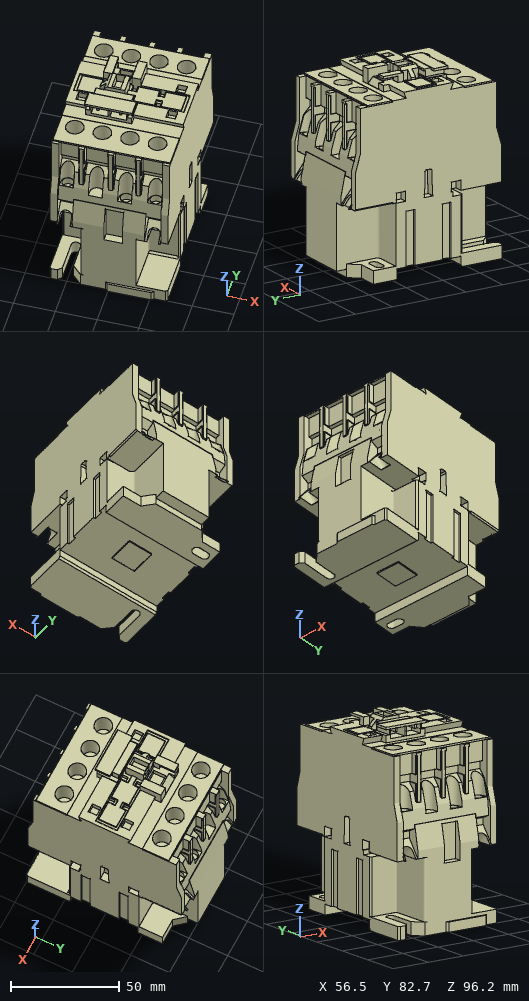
import cadquery as cq


WIDTH = 56.5
FRONT_Y = -40.85
REAR_Y = 40.85
TOTAL_HEIGHT = 96.2
HALF_WIDTH = WIDTH / 2

HOUSING_BOTTOM = 37.4
HOUSING_TOP = 87.0
COVER_TOP = 87.7
DECK_TOP = 90.7

WALL_THICKNESS = 3.5
BAY_HALF_WIDTH = HALF_WIDTH - WALL_THICKNESS
BLOCK_HALF_WIDTH = 17.3

FOOT_TOP = 6.7
RAIL_CEILING = 5.2


def box(x0, x1, y0, y1, z0, z1):
    """Axis-aligned box between opposite corners."""
    return cq.Workplane("XY").box(x1 - x0, y1 - y0, z1 - z0, centered=False).translate((x0, y0, z0))


def prism_along_x(points, x0, x1):
    """Extrude a closed (y, z) outline from x0 to x1."""
    return cq.Workplane("YZ").polyline(points).close().extrude(x1 - x0).translate((x0, 0, 0))


def prism_along_z(points, z0, z1):
    """Extrude a closed (x, y) outline from z0 to z1."""
    return cq.Workplane("XY").polyline(points).close().extrude(z1 - z0).translate((0, 0, z0))


def cylinder(x, y, radius, z0, z1):
    """Vertical cylinder."""
    return cq.Workplane("XY").circle(radius).extrude(z1 - z0).translate((x, y, z0))


def both_ends(half_outline):
    """Complete a (distance from the middle, z) outline with its mirror image in Y."""
    mirrored = [(-distance, z) for distance, z in reversed(half_outline)]
    return half_outline + mirrored


WALL_TOP_Y = 37.1
WALL_BOTTOM_Y = 39.7
WALL_BEND_LOW = 55.9
WALL_BEND_HIGH = 64.6
OPENING_BACK_Y = 31.3
OPENING_BOTTOM = 72.1
OPENING_TOP = 76.3
TERMINAL_FACE_Y = 33.5
RAMP_Y = 35.0
RAMP_BOTTOM = 68.3
BAR_TOP_Y = 37.4
BAR_TOP = 60.3
BAR_BOTTOM_Y = 38.35
BAR_BOTTOM = 51.3
BLOCK_TOP = 53.2
BLOCK_EDGE_Z = 41.1
SHELF_BACK_Y = 34.0
SHELF_WALL_TOP = 49.4
SHELF_TOP = 46.0


def make_housing():
    wall = both_ends([
        (WALL_BOTTOM_Y, HOUSING_BOTTOM),
        (WALL_BOTTOM_Y, WALL_BEND_LOW),
        (WALL_TOP_Y, WALL_BEND_HIGH),
        (WALL_TOP_Y, HOUSING_TOP),
    ])
    core = both_ends([
        (REAR_Y, HOUSING_BOTTOM),
        (SHELF_BACK_Y, SHELF_TOP),
        (SHELF_BACK_Y, SHELF_WALL_TOP),
        (BAR_BOTTOM_Y, BAR_BOTTOM),
        (BAR_TOP_Y, BAR_TOP),
        (RAMP_Y, RAMP_BOTTOM),
        (OPENING_BACK_Y, OPENING_BOTTOM),
        (OPENING_BACK_Y, OPENING_TOP),
        (TERMINAL_FACE_Y, OPENING_TOP),
        (TERMINAL_FACE_Y, HOUSING_TOP),
    ])
    end_block = both_ends([
        (REAR_Y, HOUSING_BOTTOM),
        (REAR_Y, BLOCK_EDGE_Z),
        (BAR_BOTTOM_Y, BLOCK_TOP),
    ])
    housing = prism_along_x(core, -BAY_HALF_WIDTH, BAY_HALF_WIDTH)
    housing = housing.union(prism_along_x(end_block, -BLOCK_HALF_WIDTH, BLOCK_HALF_WIDTH))
    housing = housing.union(prism_along_x(wall, -HALF_WIDTH, -BAY_HALF_WIDTH))
    return housing.union(prism_along_x(wall, BAY_HALF_WIDTH, HALF_WIDTH))


COVER_INNER_Y = 19.5
COVER_BOTTOM = 86.8
COVER_INSET = 0.1
COVER_STEP = 0.15
FRONT_COVER_EDGE_Y = -35.7
REAR_COVER_EDGE_Y = 33.1


def make_covers():
    cover_half_width = HALF_WIDTH - COVER_INSET
    front = box(-cover_half_width, cover_half_width, FRONT_COVER_EDGE_Y, -COVER_INNER_Y,
                COVER_BOTTOM, COVER_TOP)
    rear = box(-cover_half_width, cover_half_width, COVER_INNER_Y, REAR_COVER_EDGE_Y,
               COVER_BOTTOM, COVER_TOP)
    strip = box(-HALF_WIDTH, HALF_WIDTH, -COVER_INNER_Y, COVER_INNER_Y,
                COVER_BOTTOM, COVER_TOP - COVER_STEP)
    return front.union(rear).union(strip)


DECK_HALF_LENGTH = 13.45
DECK_FOOT_HALF_LENGTH = 12.0


def make_deck():
    dovetail = both_ends([(DECK_FOOT_HALF_LENGTH, HOUSING_TOP), (DECK_HALF_LENGTH, DECK_TOP)])
    return prism_along_x(dovetail, -HALF_WIDTH, HALF_WIDTH)


FIN_CENTERS = (-14.0, 0.0, 13.2)
FIN_BOTTOM = 63.1
FIN_CAP_BOTTOM = 85.4
FIN_TIP_Y = 37.25
FIN_ROOT_Y = 36.4
FIN_WIDTH = 2.8
FIN_BLADE_WIDTH = 1.9


def make_fins():
    """Barriers between poles: a thin blade with a wider root and a cap, at both ends."""
    fins = cq.Workplane("XY")
    half_root = FIN_WIDTH / 2
    half_blade = FIN_BLADE_WIDTH / 2
    for x in FIN_CENTERS:
        blade = box(x - half_blade, x + half_blade, -FIN_TIP_Y, FIN_TIP_Y, FIN_BOTTOM, COVER_BOTTOM)
        cap = box(x - half_root, x + half_root, -FIN_TIP_Y, FIN_TIP_Y, FIN_CAP_BOTTOM, COVER_BOTTOM)
        upper = box(x - half_root, x + half_root, -FIN_ROOT_Y, FIN_ROOT_Y, OPENING_TOP, FIN_CAP_BOTTOM)
        lower = box(x - half_root, x + half_root, -FIN_ROOT_Y, FIN_ROOT_Y, FIN_BOTTOM, OPENING_BOTTOM)
        fins = fins.add(blade.union(cap).union(upper).union(lower))
    return fins.combine()


WIRE_RADIUS = 3.3
WIRE_Y = 35.2
WIRE_TOP = 74.0
WIRE_OUTER_FLOOR = 60.0
WIRE_INNER_FLOOR = 57.3
WIRE_HOLE_Y = 34.5
WIRE_HOLE_RADIUS = 2.75
WIRE_HOLE_DEPTH = 4.0
WIRE_GROOVES = (
    (-21.1, WIRE_OUTER_FLOOR, True),
    (-7.15, WIRE_INNER_FLOOR, False),
    (6.85, WIRE_INNER_FLOOR, True),
    (21.05, WIRE_OUTER_FLOOR, True),
)


def make_wire_grooves():
    grooves = cq.Workplane("XY")
    for x, floor, has_hole in WIRE_GROOVES:
        for end in (-1, 1):
            y = end * WIRE_Y
            y0, y1 = sorted((y, end * REAR_Y))
            groove = cylinder(x, y, WIRE_RADIUS, floor, WIRE_TOP)
            groove = groove.union(box(x - WIRE_RADIUS, x + WIRE_RADIUS, y0, y1, floor, WIRE_TOP))
            if has_hole:
                groove = groove.union(cylinder(x, end * WIRE_HOLE_Y, WIRE_HOLE_RADIUS,
                                               floor - WIRE_HOLE_DEPTH, floor))
            grooves = grooves.add(groove)
    return grooves.combine()


SHELF_NOTCH_X = 21.15
SHELF_NOTCH_RADIUS = 2.8
SHELF_NOTCH_CENTER_Z = 40.8
SHELF_NOTCH_FRONT_DEPTH = 6.5
SHELF_NOTCH_REAR_DEPTH = 1.2


def make_shelf_notches():
    """Round-ended notches sunk square to the sloped shelves, open at their lower edges."""
    run = REAR_Y - SHELF_BACK_Y
    rise = SHELF_TOP - HOUSING_BOTTOM
    center_y = REAR_Y - (SHELF_NOTCH_CENTER_Z - HOUSING_BOTTOM) * run / rise
    diameter = 2 * SHELF_NOTCH_RADIUS
    reach = 2 * diameter
    notches = cq.Workplane("XY")
    for end, depth in ((-1, SHELF_NOTCH_FRONT_DEPTH), (1, SHELF_NOTCH_REAR_DEPTH)):
        for x in (-SHELF_NOTCH_X, SHELF_NOTCH_X):
            plane = cq.Plane(origin=(x, end * center_y, SHELF_NOTCH_CENTER_Z),
                             xDir=(0, end * run, -rise), normal=(0, end * rise, run))
            notch = (cq.Workplane(plane).circle(SHELF_NOTCH_RADIUS)
                     .extrude(-depth)
                     .union(cq.Workplane(plane).center(reach / 2, 0).rect(reach, diameter)
                            .extrude(-depth)))
            notches = notches.add(notch)
    return notches.combine()


POLES = 4
SCREW_PITCH = 13.2
SCREW_FIRST_X = -20.3
SCREW_RADIUS = 4.25
SCREW_REAR_Y = 25.1
SCREW_FRONT_Y = -25.4
SCREW_DEPTH = 12.0


def make_screw_holes():
    holes = cq.Workplane("XY")
    for pole in range(POLES):
        x = SCREW_FIRST_X + pole * SCREW_PITCH
        for y in (SCREW_FRONT_Y, SCREW_REAR_Y):
            holes = holes.add(cylinder(x, y, SCREW_RADIUS, COVER_TOP - SCREW_DEPTH, COVER_TOP))
    return holes.combine()


POCKET_DEPTH = 4.0
LATCH_TOP = 50.7
LATCH_SHOULDER = 50.0
LATCH_TAPER_START = 43.0
LATCH_HALF_WIDTH = 2.0
LATCH_FOOT_HALF_WIDTH = 2.3
LATCH_TIP_HALF_WIDTH = 1.2
SIDE_POCKET_Y = (12.4, 17.5)
SIDE_POCKET_TOP = 42.3


def make_side_openings():
    x0, x1 = -HALF_WIDTH, -HALF_WIDTH + POCKET_DEPTH
    latch_slot = prism_along_x(both_ends([
        (LATCH_FOOT_HALF_WIDTH, HOUSING_BOTTOM),
        (LATCH_HALF_WIDTH, LATCH_TAPER_START),
        (LATCH_HALF_WIDTH, LATCH_SHOULDER),
        (LATCH_TIP_HALF_WIDTH, LATCH_TOP),
    ]), x0, x1)
    rear = box(x0, x1, *SIDE_POCKET_Y, HOUSING_BOTTOM, SIDE_POCKET_TOP)
    left = latch_slot.union(rear).union(rear.mirror("XZ"))
    return left.union(left.mirror("YZ"))


EDGE_BEVEL = 0.7
EDGE_BEVEL_FRONT_Y = 19.4


def make_wall_bevels():
    """Bevels on the lower outer edges of the side walls, along the rear recesses."""
    outline = [
        (-HALF_WIDTH, HOUSING_BOTTOM),
        (-HALF_WIDTH + EDGE_BEVEL, HOUSING_BOTTOM),
        (-HALF_WIDTH, HOUSING_BOTTOM + EDGE_BEVEL),
    ]
    length = WALL_BOTTOM_Y - EDGE_BEVEL_FRONT_Y
    left = (cq.Workplane("XZ").polyline(outline).close().extrude(-length)
            .translate((0, EDGE_BEVEL_FRONT_Y, 0)))
    return left.union(left.mirror("YZ"))


WALL_LEFT_X = -13.4
WALL_RIGHT_X = 13.3
RECESS_FRONT_Y = -18.6
RECESS_REAR_Y = 17.8
OUTER_BREAK = 0.9
FRONT_INNER_RADIUS = 0.9
REAR_INNER_RADIUS = 2.2
LEFT_FACE_RADIUS = 1.2
FOOT_BEVEL = 1.0


def make_waist():
    """Body between housing and feet: a full-width middle with narrower ends."""
    left_face_x = WALL_LEFT_X + LEFT_FACE_RADIUS
    return (
        cq.Workplane("XY")
        .moveTo(-HALF_WIDTH, RECESS_FRONT_Y + OUTER_BREAK)
        .lineTo(-HALF_WIDTH + OUTER_BREAK, RECESS_FRONT_Y)
        .lineTo(WALL_LEFT_X - FRONT_INNER_RADIUS, RECESS_FRONT_Y)
        .radiusArc((WALL_LEFT_X, RECESS_FRONT_Y - FRONT_INNER_RADIUS), FRONT_INNER_RADIUS)
        .lineTo(WALL_LEFT_X, FRONT_Y + LEFT_FACE_RADIUS)
        .radiusArc((left_face_x, FRONT_Y), -LEFT_FACE_RADIUS)
        .lineTo(WALL_RIGHT_X, FRONT_Y)
        .lineTo(WALL_RIGHT_X, RECESS_FRONT_Y - FRONT_INNER_RADIUS)
        .radiusArc((WALL_RIGHT_X + FRONT_INNER_RADIUS, RECESS_FRONT_Y), FRONT_INNER_RADIUS)
        .lineTo(HALF_WIDTH - OUTER_BREAK, RECESS_FRONT_Y)
        .lineTo(HALF_WIDTH, RECESS_FRONT_Y + OUTER_BREAK)
        .lineTo(HALF_WIDTH, RECESS_REAR_Y)
        .lineTo(WALL_RIGHT_X + REAR_INNER_RADIUS, RECESS_REAR_Y)
        .radiusArc((WALL_RIGHT_X, RECESS_REAR_Y + REAR_INNER_RADIUS), REAR_INNER_RADIUS)
        .lineTo(WALL_RIGHT_X, REAR_Y)
        .lineTo(WALL_LEFT_X, REAR_Y)
        .lineTo(WALL_LEFT_X, RECESS_REAR_Y + REAR_INNER_RADIUS)
        .radiusArc((WALL_LEFT_X - REAR_INNER_RADIUS, RECESS_REAR_Y), REAR_INNER_RADIUS)
        .lineTo(-HALF_WIDTH, RECESS_REAR_Y)
        .close()
        .extrude(HOUSING_BOTTOM)
    )


ARM_END_Y = 30.0
SLOT_LEFT_X = -22.5
SLOT_RIGHT_X = -18.0
SLOT_WIDTH = SLOT_RIGHT_X - SLOT_LEFT_X
SLOT_LEAD_IN = 1.9
SLOT_END_Y = -21.5
REAR_BODY_Y = 35.3
FOOT_CORNER = 0.9


def make_feet():
    bevel = WALL_LEFT_X - SLOT_RIGHT_X
    front_left = prism_along_z([
        (-HALF_WIDTH, 0),
        (-HALF_WIDTH, FRONT_Y + FOOT_CORNER),
        (-HALF_WIDTH + FOOT_CORNER, FRONT_Y),
        (SLOT_LEFT_X - SLOT_LEAD_IN, FRONT_Y),
        (SLOT_LEFT_X, FRONT_Y + SLOT_LEAD_IN),
        (SLOT_RIGHT_X, FRONT_Y + bevel),
        (WALL_LEFT_X, FRONT_Y),
        (0, FRONT_Y),
        (0, 0),
    ], 0, FOOT_TOP)
    front_right = prism_along_z([
        (0, 0),
        (0, FRONT_Y),
        (HALF_WIDTH - FOOT_CORNER, FRONT_Y),
        (HALF_WIDTH, FRONT_Y + FOOT_CORNER),
        (HALF_WIDTH, 0),
    ], 0, FOOT_TOP)
    root_bevel = prism_along_x([
        (RECESS_FRONT_Y, FOOT_TOP),
        (RECESS_FRONT_Y, FOOT_TOP + FOOT_BEVEL),
        (RECESS_FRONT_Y - FOOT_BEVEL, FOOT_TOP),
    ], WALL_RIGHT_X, HALF_WIDTH - OUTER_BREAK)
    rear = prism_along_z([
        (-HALF_WIDTH, 0),
        (-HALF_WIDTH, ARM_END_Y),
        (SLOT_RIGHT_X, ARM_END_Y),
        (WALL_LEFT_X, REAR_BODY_Y),
        (-WALL_LEFT_X, REAR_BODY_Y),
        (-SLOT_RIGHT_X, ARM_END_Y),
        (HALF_WIDTH, ARM_END_Y),
        (HALF_WIDTH, 0),
    ], 0, FOOT_TOP)
    return front_left.union(front_right).union(root_bevel).union(rear)


REAR_SLOT_Y = 24.0
REAR_SLOT_CENTER_X = -21.5
REAR_SLOT_LENGTH = 9.0


def make_foot_slots():
    """Screw slots on the left side: open to the front, closed at the rear."""
    radius = SLOT_WIDTH / 2
    arc_y = SLOT_END_Y - radius
    open_slot = box(SLOT_LEFT_X, SLOT_RIGHT_X, FRONT_Y, arc_y, 0, FOOT_TOP)
    open_slot = open_slot.union(cylinder(SLOT_LEFT_X + radius, arc_y, radius, 0, FOOT_TOP))
    closed_slot = (cq.Workplane("XY").center(REAR_SLOT_CENTER_X, REAR_SLOT_Y)
                   .slot2D(REAR_SLOT_LENGTH, SLOT_WIDTH).extrude(FOOT_TOP))
    return open_slot.union(closed_slot)


RAIL_REAR_Y = 17.1
RAIL_FRONT_Y = -17.6
RAIL_LEAD_IN = 1.0
REAR_BOTTOM = 4.1
RIB_GROOVE_DEPTH = 1.1
RIB_GROOVE_TOP = 32.5
RIB_GROOVE_Y = (7.5, 12.15)
UNDERCUT_BACK_Y = -13.2
UNDERCUT_BOTTOM = 35.2


def make_base_cuts():
    rail = prism_along_x([
        (RAIL_REAR_Y, 0),
        (RAIL_REAR_Y, RAIL_CEILING),
        (RAIL_FRONT_Y, RAIL_CEILING),
        (RAIL_FRONT_Y, RAIL_LEAD_IN),
        (RAIL_FRONT_Y - RAIL_LEAD_IN, 0),
    ], -HALF_WIDTH, HALF_WIDTH)
    rear_relief = box(-HALF_WIDTH, HALF_WIDTH, REAR_BODY_Y, REAR_Y, 0, REAR_BOTTOM)
    cuts = rail.union(rear_relief).union(make_foot_slots())

    groove = box(-HALF_WIDTH, -HALF_WIDTH + RIB_GROOVE_DEPTH, *RIB_GROOVE_Y, 0, RIB_GROOVE_TOP)
    left_grooves = groove.union(groove.mirror("XZ"))
    cuts = cuts.union(left_grooves).union(left_grooves.mirror("YZ"))

    undercut_front_y = RECESS_FRONT_Y - FRONT_INNER_RADIUS
    for x0, x1 in ((-HALF_WIDTH, WALL_LEFT_X), (WALL_RIGHT_X, HALF_WIDTH)):
        cuts = cuts.union(box(x0, x1, undercut_front_y, UNDERCUT_BACK_Y, UNDERCUT_BOTTOM, HOUSING_BOTTOM))
    return cuts


TAB_LEFT_X = -1.4
TAB_RIGHT_X = 21.8
TAB_TOP = 5.0
TAB_THICKNESS = 1.0
TAB_BEVEL = 1.1
PAD_HALF_LENGTH = 6.5
PAD_THICKNESS = 0.7


def make_base_pads():
    """Rail latch tab at the front and the low pad on the rail channel ceiling."""
    tab_y = FRONT_Y - TAB_THICKNESS
    tab = prism_along_z([
        (TAB_LEFT_X, FRONT_Y),
        (TAB_LEFT_X + TAB_BEVEL, tab_y),
        (TAB_RIGHT_X - TAB_BEVEL, tab_y),
        (TAB_RIGHT_X, FRONT_Y),
    ], 0, TAB_TOP)
    pad = box(-PAD_HALF_LENGTH, PAD_HALF_LENGTH, -PAD_HALF_LENGTH, PAD_HALF_LENGTH,
              RAIL_CEILING - PAD_THICKNESS, RAIL_CEILING)
    return tab.union(pad)


WINDOW_X = (-2.15, 6.7)
WINDOW_Z = (33.1, 51.4)
WINDOW_BACK_Y = -37.0


def make_end_window():
    """Rectangular pocket in the front end block."""
    return box(*WINDOW_X, FRONT_Y, WINDOW_BACK_Y, *WINDOW_Z)


TRENCH_DEPTH = 0.8
FRAME_HALF_LENGTH = 26.35
FRAME_Y = (-5.6, 5.4)
PANEL_Y = (-4.85, 4.35)
PANEL_HALF_LENGTH = 24.95
NECK_Y = (-1.3, 1.2)
PANELS_X = ((-PANEL_HALF_LENGTH, -15.0), (2.0, 12.1), (15.1, PANEL_HALF_LENGTH))
NECKS_X = ((-2.05, 2.0), (12.1, 15.1))
KEYHOLE_DEPTH = 3.0
KEYHOLES_X = (-13.7, 0.35, 13.6)
KEYHOLE_WIDTH = 2.2
KEYHOLES_Y = ((FRAME_Y[0], -2.6), (2.0, FRAME_Y[1]))
SQUARE_SIZE = 4.4
SQUARES = ((21.5, 8.3), (21.5, -8.6), (-21.6, -8.6))


def make_deck_cuts():
    """Trench that leaves flush label panels joined by necks, with keyholes and square holes."""
    z0 = DECK_TOP - TRENCH_DEPTH
    cuts = box(-FRAME_HALF_LENGTH, FRAME_HALF_LENGTH, *FRAME_Y, z0, DECK_TOP)
    for x0, x1 in PANELS_X:
        cuts = cuts.cut(box(x0, x1, *PANEL_Y, z0, DECK_TOP))
    for x0, x1 in NECKS_X:
        cuts = cuts.cut(box(x0, x1, *NECK_Y, z0, DECK_TOP))
    floor = DECK_TOP - KEYHOLE_DEPTH
    for x in KEYHOLES_X:
        for y0, y1 in KEYHOLES_Y:
            cuts = cuts.union(box(x - KEYHOLE_WIDTH / 2, x + KEYHOLE_WIDTH / 2, y0, y1, floor, DECK_TOP))
    half = SQUARE_SIZE / 2
    for x, y in SQUARES:
        cuts = cuts.union(box(x - half, x + half, y - half, y + half, floor, DECK_TOP))
    return cuts


ARM_TOP = 95.0
ARM_FRONT_Y = 5.3
ARM_REAR_Y = 16.3
ARM_PLATE_BOTTOM = 93.8
ARM_LEG_REAR_Y = 8.4
ARM_LEFT = (-15.0, -10.8)
ARM_RIGHT = (-1.4, 2.9)


def make_rear_arms():
    left_top = box(*ARM_LEFT, ARM_FRONT_Y, ARM_REAR_Y, ARM_PLATE_BOTTOM, ARM_TOP)
    left_leg = box(*ARM_LEFT, ARM_FRONT_Y, ARM_LEG_REAR_Y, DECK_TOP, ARM_TOP)
    right = box(*ARM_RIGHT, ARM_FRONT_Y, ARM_REAR_Y, COVER_BOTTOM, ARM_TOP)
    bridge = prism_along_x([
        (DECK_FOOT_HALF_LENGTH, COVER_BOTTOM),
        (ARM_REAR_Y, COVER_BOTTOM),
        (ARM_REAR_Y, COVER_TOP),
        (DECK_HALF_LENGTH, DECK_TOP),
        (DECK_FOOT_HALF_LENGTH, DECK_TOP),
    ], ARM_LEFT[1], ARM_RIGHT[0])
    left_foot = box(*ARM_LEFT, DECK_FOOT_HALF_LENGTH, ARM_REAR_Y, COVER_BOTTOM, DECK_TOP)
    return left_top.union(left_leg).union(right).union(bridge).union(left_foot)


ARM_HOLE_X = (-9.0, -2.8)
ARM_HOLE_Y = (6.4, 12.7)


def make_arm_hole():
    """Square hole in the deck between the two rear arms."""
    return box(*ARM_HOLE_X, *ARM_HOLE_Y, DECK_TOP - KEYHOLE_DEPTH, DECK_TOP)


CARRIER_LEFT_X = -12.0
CARRIER_SLOPE_TOP_X = -10.4
CARRIER_RIGHT_X = -2.05
CARRIER_HALF_LENGTH = 4.6
CARRIER_SHOULDER = 94.8
RIB_LEFT_X = -15.0
RIB_FOOT = 91.7
RIB_HALF_WIDTH = 1.2
WELL_X = (-8.5, -4.3)
WELL_FRONT_Y = -3.6
WELL_FLOOR = 91.7


def make_carrier():
    """Moving contact carrier: a block with a well, sloped on the left and braced by a sloped rib."""
    bottom = DECK_TOP - TRENCH_DEPTH
    block = cq.Workplane("XZ").polyline([
        (CARRIER_LEFT_X, bottom),
        (CARRIER_LEFT_X, CARRIER_SHOULDER),
        (CARRIER_SLOPE_TOP_X, TOTAL_HEIGHT),
        (CARRIER_RIGHT_X, TOTAL_HEIGHT),
        (CARRIER_RIGHT_X, bottom),
    ]).close().extrude(CARRIER_HALF_LENGTH, both=True)
    rib = cq.Workplane("XZ").polyline([
        (RIB_LEFT_X, bottom),
        (RIB_LEFT_X, RIB_FOOT),
        (CARRIER_LEFT_X, CARRIER_SHOULDER),
        (CARRIER_LEFT_X, bottom),
    ]).close().extrude(RIB_HALF_WIDTH, both=True)
    well = box(*WELL_X, WELL_FRONT_Y, PANEL_Y[1], WELL_FLOOR, TOTAL_HEIGHT)
    return block.cut(well).union(rib)


HOOD_BASE_X = (-17.7, 4.4)
HOOD_BODY_X = (-15.7, 2.4)
HOOD_PLATE_X = (-18.1, 4.75)
HOOD_BASE_Y = (-16.2, -5.7)
HOOD_BODY_REAR_Y = -6.1
HOOD_TOP_REAR_Y = -5.4
HOOD_PLATE_Y = (-16.9, -9.2)
HOOD_BASE_TOP = 91.1
HOOD_PLATE_BOTTOM = 94.0
HOOD_TOP = 95.2
HOOD_BODY_TOP = 95.0


def make_hood():
    """Covered seat in front of the carrier."""
    base = box(*HOOD_BASE_X, *HOOD_BASE_Y, COVER_BOTTOM, HOOD_BASE_TOP)
    body = box(*HOOD_BODY_X, HOOD_BASE_Y[0], HOOD_BODY_REAR_Y, HOOD_BASE_TOP, HOOD_PLATE_BOTTOM)
    top = box(*HOOD_BODY_X, HOOD_PLATE_Y[0], HOOD_TOP_REAR_Y, HOOD_PLATE_BOTTOM, HOOD_BODY_TOP)
    plate = box(*HOOD_PLATE_X, *HOOD_PLATE_Y, HOOD_PLATE_BOTTOM, HOOD_TOP)
    return base.union(body).union(top).union(plate)


HOOD_SILL = 89.2
HOOD_WINDOWS_X = ((-15.0, -6.9), (-6.1, 1.9))
HOOD_WINDOW_BACK_Y = -9.3
HOOD_RIBS_X = (-11.85, -0.9)
HOOD_RIB_WIDTH = 1.0
HOOD_RIB_BOTTOM = 92.0


def make_hood_windows():
    """Front openings under the hood plate, each with a short rib left hanging from the plate."""
    windows = cq.Workplane("XY")
    for x0, x1 in HOOD_WINDOWS_X:
        windows = windows.add(box(x0, x1, HOOD_BASE_Y[0], HOOD_WINDOW_BACK_Y, HOOD_SILL, HOOD_PLATE_BOTTOM))
    windows = windows.combine()
    for x in HOOD_RIBS_X:
        windows = windows.cut(box(x - HOOD_RIB_WIDTH / 2, x + HOOD_RIB_WIDTH / 2,
                                  HOOD_BASE_Y[0], HOOD_WINDOW_BACK_Y, HOOD_RIB_BOTTOM, HOOD_PLATE_BOTTOM))
    return windows


housing = make_housing().union(make_fins()).cut(make_wire_grooves()).cut(make_shelf_notches())
housing = housing.union(make_covers()).union(make_deck())
housing = housing.cut(make_screw_holes()).cut(make_side_openings()).cut(make_wall_bevels())
base = make_waist().union(make_feet()).cut(make_base_cuts()).union(make_base_pads())
body = housing.union(base).cut(make_end_window()).cut(make_deck_cuts())
actuator = make_rear_arms().union(make_carrier()).union(make_hood())
result = body.union(actuator).cut(make_arm_hole()).cut(make_hood_windows())